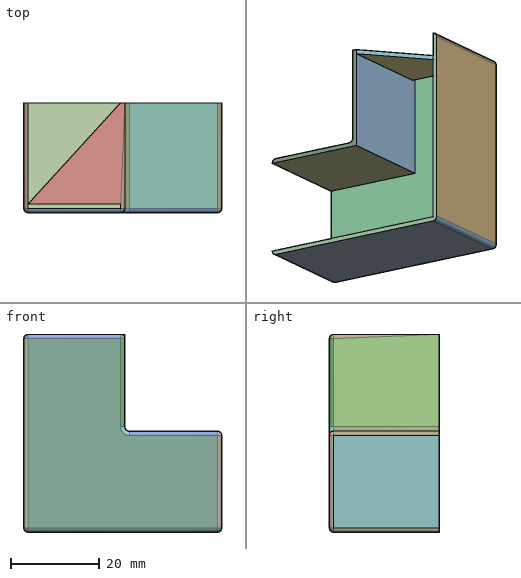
import cadquery as cq
import math

leg_length = 45.0
leg_width = 23.0
depth = 25.0
wall = 1.0
edge_radius = 1.0
gusset_gap = 1.0
rim_end_radius = 0.02

inner_width = leg_width - wall
match_tolerance = 0.01


def l_prism(start, length, width, y_front, y_back):
    """L-shaped prism along +Y, with its heel at X = Z = start."""
    outline = [
        (start, start),
        (length, start),
        (length, width),
        (width, width),
        (width, length),
        (start, length),
    ]
    plane = cq.Workplane("XZ", origin=(0, y_front, 0))
    return plane.polyline(outline).close().extrude(y_front - y_back)


def rounded_body():
    """Solid L with every outer edge rounded except those around the flat back."""
    body = l_prism(0, leg_length, leg_width, 0, depth)
    inside_corner = cq.NearestToPointSelector((leg_width, depth / 2, leg_width))
    body = body.edges(inside_corner).fillet(edge_radius)

    convex_corners = [
        (0, 0),
        (leg_length, 0),
        (leg_length, leg_width),
        (leg_width, leg_length),
        (0, leg_length),
    ]
    edges = body.faces("<Y").edges().vals()
    for edge in body.edges("|Y").vals():
        center = edge.Center()
        for corner in convex_corners:
            if math.dist((center.x, center.z), corner) < match_tolerance:
                edges.append(edge)
    return body.newObject(edges).fillet(edge_radius)


def cavity():
    """Space inside the walls, open at the back, the top and the +X end."""
    return l_prism(wall, leg_length + wall, inner_width, wall, depth)


def gusset():
    """Thin triangular web across the top opening, braced against the inner leg wall."""
    corner_y = wall + gusset_gap
    outline = [
        (wall, corner_y),
        (inner_width, corner_y),
        (inner_width, depth),
    ]
    plane = cq.Workplane("XY", origin=(0, 0, leg_length - wall))
    return plane.polyline(outline).close().extrude(wall)


def rim_corner(plane, radius):
    """Draw the sliver that a rounding of this radius takes off the rim corner."""
    center_x = leg_width - radius
    center_z = leg_length - radius
    diagonal = radius * math.sqrt(0.5)
    return (
        plane.moveTo(center_x, leg_length)
        .threePointArc((center_x + diagonal, center_z + diagonal), (leg_width, center_z))
        .lineTo(leg_width, leg_length)
        .close()
    )


def rim_fill():
    """Top strip of the inner leg wall, whose rounding fades out toward the back."""
    length = depth - wall
    strip = cq.Workplane("XY").box(wall, length, wall, centered=False)
    strip = strip.translate((inner_width, wall, leg_length - wall))
    front = rim_corner(cq.Workplane("XZ", origin=(0, wall, 0)), edge_radius)
    sliver = rim_corner(front.workplane(offset=-length), rim_end_radius).loft(ruled=True)
    return strip.cut(sliver)


result = rounded_body().cut(cavity()).union(gusset()).union(rim_fill())